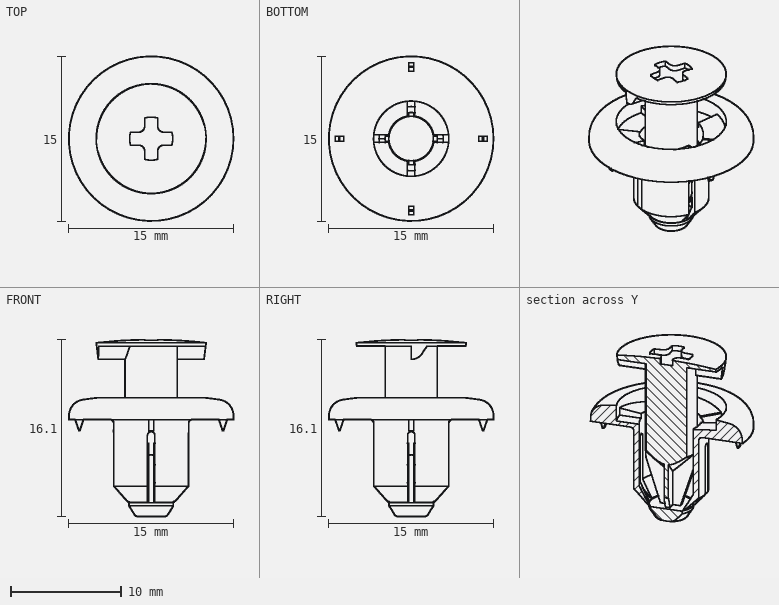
import cadquery as cq
import math


flange_radius = 7.5
flange_bottom = 8.82
flange_thickness = 2.0
flange_top = flange_bottom + flange_thickness
flange_edge_height = 0.35
flange_round = 1.5
flange_slope = math.radians(8)

recess_radius = 5.0
recess_floor = 9.27
ramp_foot = 9.38
ramp_slope = math.radians(9.5)
ramp_span = 45

sleeve_radius = 3.43
sleeve_bottom = 1.3
neck_fillet = 0.3
nose_top = 2.78
nose_radius = 2.27
nose_lip_height = 0.16
nose_lip_radius = 2.08
bore_radius = 2.91
bore_cone_top = 3.1
bore_end_radius = 2.03

slot_width = 0.68
slot_top = 7.72

tooth_centre = 6.53
tooth_root = 0.77
tooth_tip = 0.1
tooth_height = 1.0
tooth_thickness = 0.45

head_radius = 5.0
rim_top = 15.82
rim_bottom = 15.51
dome_apex = 16.1
head_draft = math.radians(7)

stem_radius = 2.38
stem_bottom = 6.68
fin_thickness = 0.45
fin_taper_top = 5.62
fin_taper = math.radians(18)

tip_radius = 2.03
tip_top = 1.27
tip_cone_top = 0.98
tip_end_radius = 1.42
tip_fillet = 0.42

cam_depth = 1.2
cam_bottom = rim_bottom - cam_depth
cam_round = 1.19
cam_flank = math.radians(57)

socket_radius = 1.96
socket_arm = 1.17
socket_fillet = 0.56
socket_depth = 0.55

quarter_turns = [0, 90, 180, 270]
half_turns = [0, 180]


def turned(profile):
    """Revolve a radius-height profile around the Z axis."""
    return profile.close().revolve(360, (0, 0), (0, 1))


def flange_and_sleeve():
    round_centre_x = flange_radius - flange_round
    round_centre_z = flange_bottom + flange_edge_height

    def on_round(angle):
        return (
            round_centre_x + flange_round * math.cos(angle),
            round_centre_z + flange_round * math.sin(angle),
        )

    round_end_angle = math.pi / 2 - flange_slope
    fillet_mid = neck_fillet * (1 - math.sqrt(0.5))
    profile = (
        cq.Workplane("XZ")
        .moveTo(bore_end_radius, sleeve_bottom)
        .lineTo(nose_lip_radius, sleeve_bottom)
        .lineTo(nose_radius, sleeve_bottom + nose_lip_height)
        .lineTo(sleeve_radius, nose_top)
        .lineTo(sleeve_radius, flange_bottom - neck_fillet)
        .threePointArc(
            (sleeve_radius + fillet_mid, flange_bottom - fillet_mid),
            (sleeve_radius + neck_fillet, flange_bottom),
        )
        .lineTo(flange_radius, flange_bottom)
        .lineTo(flange_radius, round_centre_z)
        .threePointArc(on_round(round_end_angle / 2), on_round(round_end_angle))
        .lineTo(recess_radius, flange_top)
        .lineTo(recess_radius, recess_floor)
        .lineTo(bore_radius, recess_floor)
        .lineTo(bore_radius, bore_cone_top)
    )
    return turned(profile)


def ramp():
    """A floor sector that rises from its diagonal side to a step at the X axis."""
    sector_width = recess_radius * math.tan(math.radians(ramp_span))
    ring = (
        cq.Workplane("XY", origin=(0, 0, recess_floor))
        .circle(recess_radius)
        .circle(bore_radius)
        .extrude(flange_top - recess_floor)
    )
    sector = (
        cq.Workplane("XY", origin=(0, 0, recess_floor))
        .polyline([(0, 0), (recess_radius, -sector_width), (recess_radius, 0)])
        .close()
        .extrude(flange_top - recess_floor)
    )
    ramp_top = ramp_foot + recess_radius * math.tan(ramp_slope)
    incline = (
        cq.Workplane("YZ")
        .polyline([
            (0, recess_floor),
            (0, ramp_foot),
            (recess_radius, ramp_top),
            (recess_radius, recess_floor),
        ])
        .close()
        .extrude(recess_radius)
        .rotate((0, 0, 0), (0, 0, 1), -ramp_span)
    )
    return ring.intersect(sector).intersect(incline)


def tooth():
    """A pointed tooth under the flange on the +X side."""
    return (
        cq.Workplane("XZ", origin=(tooth_centre, 0, flange_bottom))
        .polyline([
            (-tooth_root / 2, 0),
            (-tooth_tip / 2, -tooth_height),
            (tooth_tip / 2, -tooth_height),
            (tooth_root / 2, 0),
        ])
        .close()
        .extrude(tooth_thickness / 2, both=True)
    )


def sleeve_slot():
    """A round-topped slot through the sleeve wall on the +X side, open at the bottom."""
    half = slot_width / 2
    return (
        cq.Workplane("YZ")
        .moveTo(-half, 0)
        .lineTo(-half, slot_top - half)
        .threePointArc((0, slot_top), (half, slot_top - half))
        .lineTo(half, 0)
        .close()
        .extrude(sleeve_radius + neck_fillet)
    )


def make_grommet():
    grommet = flange_and_sleeve()
    for angle in quarter_turns:
        grommet = grommet.union(ramp().rotate((0, 0, 0), (0, 0, 1), angle))
        grommet = grommet.union(tooth().rotate((0, 0, 0), (0, 0, 1), angle))
        grommet = grommet.cut(sleeve_slot().rotate((0, 0, 0), (0, 0, 1), angle))
    return grommet


def drafted_radius(height):
    """Radius of the drafted head edge at a height."""
    return head_radius - (rim_top - height) * math.tan(head_draft)


def pin_blank():
    """Domed head with its drafted edge, on a plain cylinder that reaches down to the tip."""
    dome_rise = dome_apex - rim_top
    dome_radius = (head_radius**2 + dome_rise**2) / (2 * dome_rise)
    mid_radius = head_radius / 2
    mid_height = dome_apex - dome_radius + math.sqrt(dome_radius**2 - mid_radius**2)
    profile = (
        cq.Workplane("XZ")
        .moveTo(0, tip_top)
        .lineTo(drafted_radius(cam_bottom), tip_top)
        .lineTo(drafted_radius(cam_bottom), cam_bottom)
        .lineTo(head_radius, rim_top)
        .threePointArc((mid_radius, mid_height), (0, dome_apex))
    )
    return turned(profile)


def tip():
    profile = (
        cq.Workplane("XZ")
        .lineTo(tip_end_radius, 0)
        .lineTo(tip_radius, tip_cone_top)
        .lineTo(tip_radius, tip_top)
        .lineTo(0, tip_top)
    )
    return turned(profile).faces("<Z").edges().fillet(tip_fillet)


def fin_pair():
    """Plate in the XZ plane that narrows from the stem down to the tip, for two opposite fins."""
    foot_reach = stem_radius - (fin_taper_top - tip_top) * math.tan(fin_taper)
    return (
        cq.Workplane("XZ")
        .polyline([
            (-foot_reach, tip_top),
            (foot_reach, tip_top),
            (stem_radius, fin_taper_top),
            (head_radius, fin_taper_top),
            (head_radius, stem_bottom + head_radius),
            (-head_radius, stem_bottom + head_radius),
            (-head_radius, fin_taper_top),
            (-stem_radius, fin_taper_top),
        ])
        .close()
        .extrude(fin_thickness / 2, both=True)
    )


def fin_relief():
    """Space around the crossed fins, below the 45 degree cone that ends the stem."""
    below_cone = turned(
        cq.Workplane("XZ")
        .moveTo(0, tip_top)
        .lineTo(head_radius, tip_top)
        .lineTo(head_radius, stem_bottom - stem_radius + head_radius)
        .lineTo(0, stem_bottom - stem_radius)
    )
    return below_cone.cut(fin_pair()).cut(fin_pair().rotate((0, 0, 0), (0, 0, 1), 90))


def cam():
    """A bar under the +X side of the head: upright on the X axis, rounded towards +Y."""
    centre_height = cam_bottom + cam_round
    round_end = (
        cam_round * math.sin(cam_flank),
        centre_height - cam_round * math.cos(cam_flank),
    )
    round_mid = (
        cam_round * math.sin(cam_flank / 2),
        centre_height - cam_round * math.cos(cam_flank / 2),
    )
    flank_top = round_end[0] + (rim_bottom - round_end[1]) / math.tan(cam_flank)
    return (
        cq.Workplane("YZ")
        .moveTo(0, rim_bottom)
        .lineTo(0, cam_bottom)
        .threePointArc(round_mid, round_end)
        .lineTo(flank_top, rim_bottom)
        .close()
        .extrude(2 * head_radius)
    )


def stem_relief():
    """Space around the stem and the two cams, from the tip up to the head rim."""
    relief = (
        cq.Workplane("XY", origin=(0, 0, tip_top))
        .circle(head_radius)
        .circle(stem_radius)
        .extrude(rim_bottom - tip_top)
    )
    for angle in half_turns:
        relief = relief.cut(cam().rotate((0, 0, 0), (0, 0, 1), angle))
    return relief


def socket():
    """The cross-shaped driver recess in the head."""
    floor = cq.Workplane("XY", origin=(0, 0, dome_apex - socket_depth))
    cross = (
        floor.rect(2 * head_radius, socket_arm)
        .extrude(socket_depth)
        .union(floor.rect(socket_arm, 2 * head_radius).extrude(socket_depth))
    )
    inner_corners = cq.selectors.BoxSelector(
        (-socket_arm, -socket_arm, rim_top - socket_depth),
        (socket_arm, socket_arm, dome_apex + socket_depth),
    )
    cross = cross.edges("|Z").edges(inner_corners).fillet(socket_fillet)
    return cross.intersect(floor.circle(socket_radius).extrude(socket_depth))


def make_pin():
    pin = pin_blank().cut(stem_relief()).cut(fin_relief())
    return pin.union(tip()).cut(socket())


grommet = make_grommet()
pin = make_pin()
result = cq.Compound.makeCompound([grommet.solids().val(), pin.solids().val()])